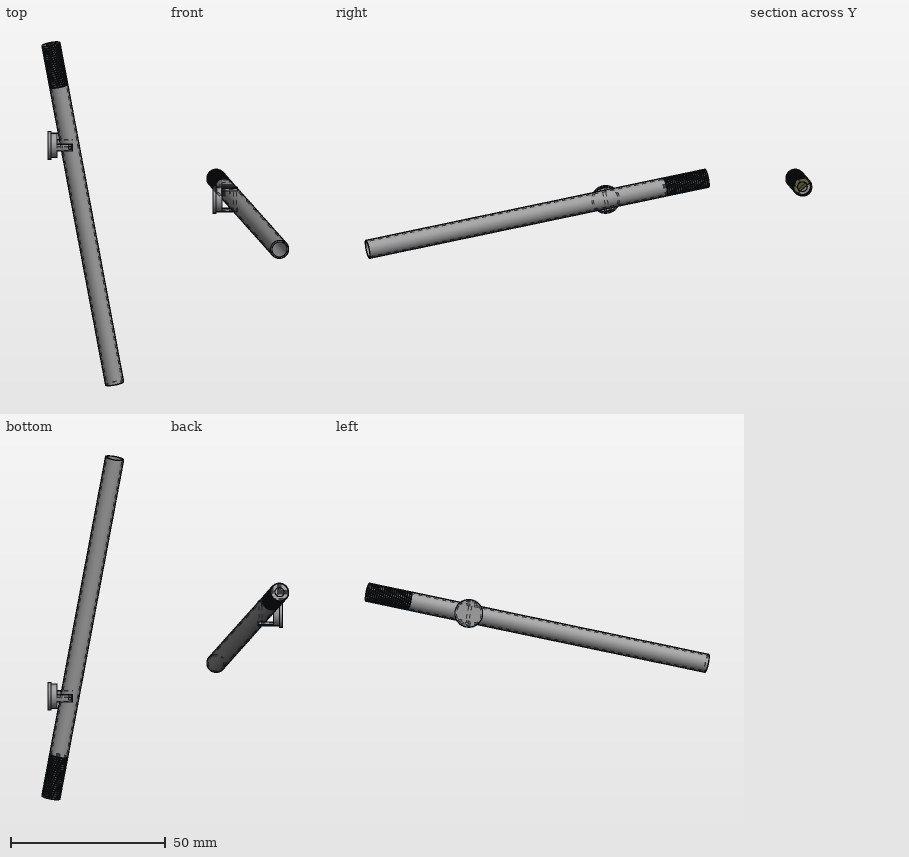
import cadquery as cq
import math

rod_radius = 3.0
bore_radius = 2.5
rod_length = 114.0
rod_lean_x = 10.42
rod_roll = 11.85

grip_length = 14.0
ridge_count = 20
ridge_pitch = grip_length / ridge_count
groove_width = 0.2
groove_depth = 0.3
core_radius = 1.5

button_radius = 4.5
button_thickness = 1.0
boss_radius = 4.0
boss_end = 3.0
arm_end = 8.0
arm_width = 2.25
arm_end_chamfer = 0.25
arm_gap = 2 * rod_radius

pin_radius = 0.5
pivot_x = 7.1
pivot_to_grip_end = 34.0

rod_direction = cq.Vector(math.sin(math.radians(rod_lean_x)), -math.cos(math.radians(rod_lean_x)), 0)
pivot = cq.Vector(pivot_x, 0, 0)


def rod_section(distance):
    """Workplane across the rod, at a distance from the free end of the grip."""
    origin = pivot + rod_direction * (distance - pivot_to_grip_end)
    return cq.Workplane(cq.Plane(origin=origin, xDir=(0, 0, 1), normal=rod_direction))


def rolled(body):
    return body.rotate((0, 0, 0), (1, 0, 0), rod_roll)


def boss_cylinder():
    return cq.Workplane("YZ").circle(boss_radius).extrude(arm_end).faces(">X").chamfer(arm_end_chamfer)


def make_pin():
    blank = cq.Workplane("XY").center(pivot_x, 0).circle(pin_radius).extrude(boss_radius, both=True)
    return blank.intersect(boss_cylinder())


def make_tube(pin):
    tube_length = rod_length - grip_length
    tube = rod_section(grip_length).circle(rod_radius).circle(bore_radius).extrude(tube_length)
    return tube.cut(pin)


def make_core():
    return rod_section(0).circle(core_radius).extrude(grip_length)


def make_grip(core):
    grip = rod_section(0).circle(rod_radius).extrude(grip_length)
    for ridge in range(1, ridge_count + 1):
        groove = (
            rod_section(ridge * ridge_pitch - groove_width)
            .circle(rod_radius)
            .circle(rod_radius - groove_depth)
            .extrude(groove_width)
        )
        grip = grip.cut(groove)
    return grip.cut(core)


def make_clip(pin):
    button = cq.Workplane("YZ").circle(button_radius).extrude(button_thickness)
    boss = cq.Workplane("YZ").circle(boss_radius).extrude(boss_end)
    arm_strip = cq.Workplane("YZ").rect(arm_width, 2 * boss_radius).extrude(arm_end)
    gap = cq.Workplane("YZ").workplane(offset=boss_end).rect(arm_width, arm_gap).extrude(arm_end)
    arms = boss_cylinder().intersect(arm_strip).cut(gap)
    return button.union(boss).union(arms).cut(pin)


pin = make_pin()
core = make_core()
tube = make_tube(pin)
grip = make_grip(core)
clip = make_clip(pin)

bodies = [tube, grip, core, clip, pin]
result = cq.Compound.makeCompound([rolled(body.solids()).val() for body in bodies])